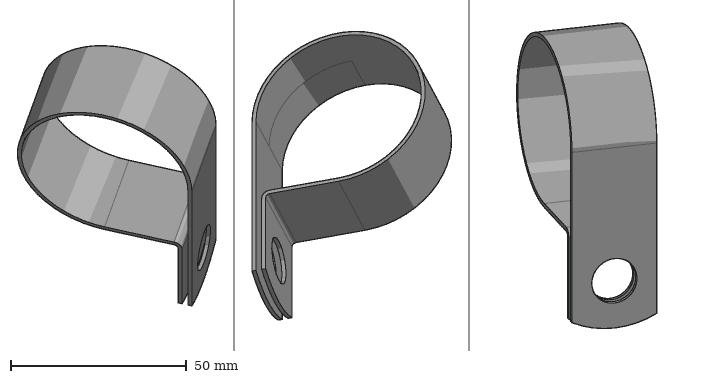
import cadquery as cq

height = 80.6
width = 25.4
thickness = 1.2
loop_diameter = 51.6
outer_radius = loop_diameter / 2
inner_radius = outer_radius - thickness

tab_gap = 1.7
bend_outer_radius = 2.4
bend_inner_radius = bend_outer_radius - thickness
hole_diameter = 13.45
hole_height = 14.3
tip_rise = 3.1
tip_radius = ((width / 2) ** 2 + tip_rise**2) / (2 * tip_rise)

tab_bottom = outer_radius - height
hole_z = tab_bottom + hole_height
short_tab_outer_x = inner_radius - tab_gap
short_tab_inner_x = short_tab_outer_x - thickness
bend_x = short_tab_outer_x - bend_outer_radius
bend_z = -inner_radius - bend_outer_radius


def bent_strip():
    """Closed strip profile: long tab, three-quarter loop, flat, bend and short tab."""
    profile = (
        cq.Workplane("XZ")
        .moveTo(outer_radius, tab_bottom)
        .lineTo(outer_radius, 0)
        .radiusArc((0, outer_radius), -outer_radius)
        .radiusArc((-outer_radius, 0), -outer_radius)
        .radiusArc((0, -outer_radius), -outer_radius)
        .lineTo(bend_x, -outer_radius)
        .radiusArc((short_tab_inner_x, bend_z), bend_inner_radius)
        .lineTo(short_tab_inner_x, tab_bottom)
        .lineTo(short_tab_outer_x, tab_bottom)
        .lineTo(short_tab_outer_x, bend_z)
        .radiusArc((bend_x, -inner_radius), -bend_outer_radius)
        .lineTo(0, -inner_radius)
        .radiusArc((-inner_radius, 0), inner_radius)
        .radiusArc((0, inner_radius), inner_radius)
        .radiusArc((inner_radius, 0), inner_radius)
        .lineTo(inner_radius, tab_bottom)
        .close()
    )
    return profile.extrude(width / 2, both=True)


def side_silhouette():
    """Envelope along X that rounds the lower ends of both tabs."""
    half_width = width / 2
    corner_z = tab_bottom + tip_rise
    return (
        cq.Workplane("YZ")
        .moveTo(-half_width, outer_radius)
        .lineTo(-half_width, corner_z)
        .radiusArc((half_width, corner_z), -tip_radius)
        .lineTo(half_width, outer_radius)
        .close()
        .extrude(outer_radius, both=True)
    )


def bolt_hole():
    """Hole through both tabs."""
    return (
        cq.Workplane("YZ")
        .center(0, hole_z)
        .circle(hole_diameter / 2)
        .extrude(outer_radius)
    )


result = bent_strip().intersect(side_silhouette()).cut(bolt_hole())